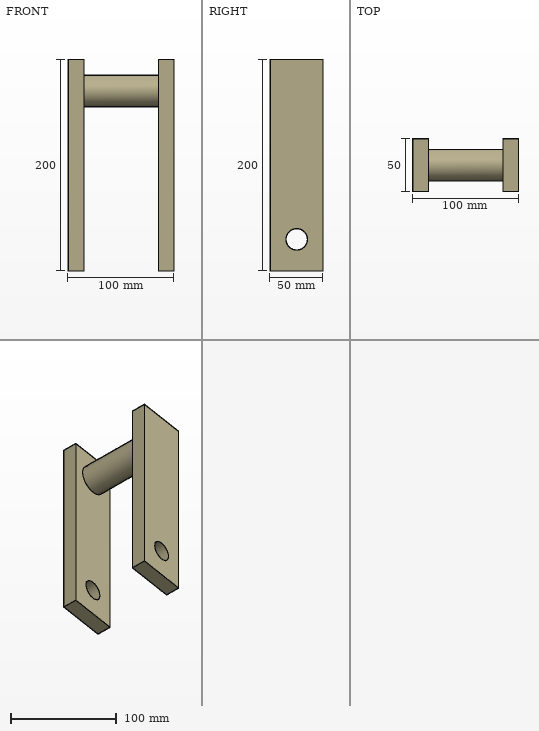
import cadquery as cq

overall_width = 100.0
plate_depth = 50.0
plate_height = 200.0
plate_thickness = 15.0
bar_diameter = 30.0
hole_diameter = 20.0
end_distance = 30.0

plate_offset = (overall_width - plate_thickness) / 2
bar_length = overall_width - plate_thickness
bar_z = plate_height / 2 - end_distance
hole_z = -plate_height / 2 + end_distance


def cylinder_along_x(diameter, length, z):
    """Cylinder parallel to X, centred on X = 0 at the given height."""
    return (
        cq.Workplane("YZ")
        .center(0, z)
        .circle(diameter / 2)
        .extrude(length / 2, both=True)
    )


result = cylinder_along_x(bar_diameter, bar_length, bar_z)

for side in (-1, 1):
    plate = cq.Workplane("XY").box(plate_thickness, plate_depth, plate_height)
    result = result.union(plate.translate((side * plate_offset, 0, 0)))

result = result.cut(cylinder_along_x(hole_diameter, overall_width, hole_z))